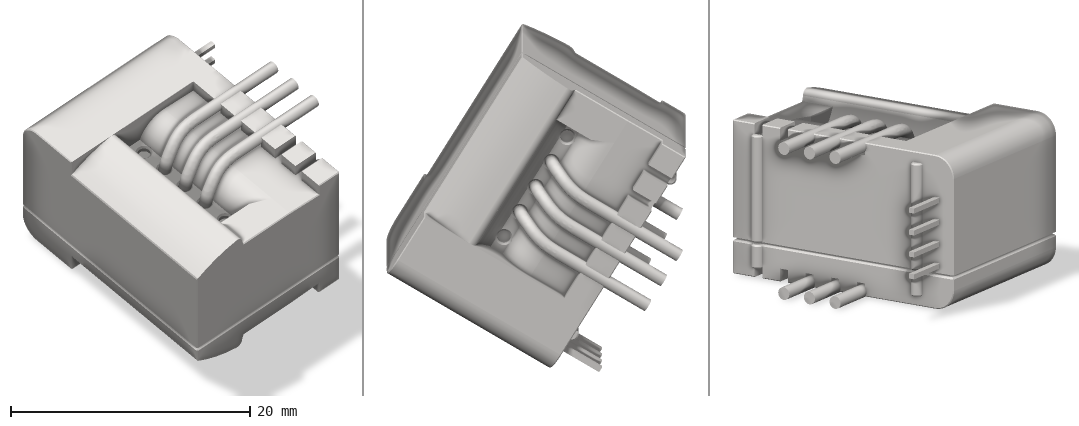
import cadquery as cq
import math

length = 21.9
total_depth = 20.0
total_height = 13.7
housing_depth = 16.0
housing_height = 13.37
top = housing_height / 2
corner_radius = 1.82
edge_chamfer = 0.09

wire_radius = 0.55
wire_count = 3
pitch = 2.55
first_wire_x = 9.18
wire_z = total_height / 2 - wire_radius
bend_start_y = 11.26
position_count = 5
slot_width = 0.79
hole_depth = 0.5
countersink_radius = 0.7
first_hole_x = 7.43
hole_y = 7.01
hole_offset = first_hole_x + pitch - first_wire_x

recess_x = 6.15
recess_back_y = 13.67
recess_z = top - 1.0
rib_foot_z = recess_z - 0.13
floor_z = top - 2.85
roll_y = 10.39
roll_foot_y = 7.67
roll_width = roll_y - roll_foot_y
roll_drop = recess_z - floor_z
roll_radius = (roll_width**2 + roll_drop**2) / (2 * roll_drop)
roll_angle = math.asin(roll_width / roll_radius)
floor_front_y = 6.49
lip_top_radius = 0.55
lip_front_y = 4.4
lip_angle = math.radians(8.7)
nose_radius = 12.0

web_x = 18.86
web_corner_x = 19.65
web_corner_y = 8.57
web_front_y = 5.2

seam_top_z = -3.53
seam_height = 0.2
seam_depth = 0.45
seam_corner_radius = 0.2
lid_chamfer = 0.15

ridge_radius = 0.53
ridge_half_height = 5.78
ridge_chamfer = 0.13
ridge_xs = (3.6, 19.41)

pin_width = 0.5
pin_thickness = 0.44
pin_x = 1.58
pin_pitch = 1.9
pin_count = 4


def bar(x_size, y_size, z_size, x, y, z):
    """Box with its low corner at (x, y, z)."""
    return cq.Workplane("XY").box(x_size, y_size, z_size, centered=False).translate((x, y, z))


def both_sides(cutter):
    """The shape together with its mirror image below the middle plane."""
    return [cutter, cutter.mirror("XY")]


def case_block(z_low, z_high):
    """Plain full-plan block between two heights."""
    return bar(length, housing_depth, z_high - z_low, 0, 0, z_low)


def make_recess():
    """Everything removed above the curved nose, the lip, the floor, the roll and the ramp to the rib."""
    lip_y = lip_front_y + lip_top_radius * math.sin(lip_angle)
    lip_z = top - lip_top_radius
    nose_top_z = lip_z + lip_top_radius * math.cos(lip_angle)
    nose_y = lip_front_y + nose_radius * math.sin(lip_angle)
    nose_z = nose_top_z - nose_radius * math.cos(lip_angle)

    def nose_height(y):
        return nose_z + math.sqrt(nose_radius**2 - (y - nose_y) ** 2)

    diagonal = math.sqrt(0.5)
    above = top + lip_top_radius
    profile = (
        cq.Workplane("YZ", origin=(recess_x, 0, 0))
        .moveTo(0, nose_height(0))
        .threePointArc((lip_front_y / 2, nose_height(lip_front_y / 2)), (lip_front_y, nose_top_z))
        .threePointArc(
            (lip_y + lip_top_radius * diagonal, lip_z + lip_top_radius * diagonal),
            (lip_y + lip_top_radius, lip_z),
        )
        .threePointArc((web_front_y, recess_z), (floor_front_y, floor_z))
        .lineTo(roll_foot_y, floor_z)
        .threePointArc(
            (
                roll_y - roll_radius * math.sin(roll_angle / 2),
                recess_z - roll_radius * (1 - math.cos(roll_angle / 2)),
            ),
            (roll_y, recess_z),
        )
        .lineTo(recess_back_y, rib_foot_z)
        .lineTo(recess_back_y, above)
        .lineTo(0, above)
        .close()
    )
    return profile.extrude(length - recess_x)


def make_web():
    """End web, level with the recess floor, with one corner cut diagonally."""
    return (
        cq.Workplane("XY", origin=(0, 0, floor_z))
        .moveTo(web_x, web_front_y)
        .lineTo(web_x, web_corner_y)
        .lineTo(web_corner_x, roll_y)
        .lineTo(length, roll_y)
        .lineTo(length, web_front_y)
        .close()
        .extrude(recess_z - floor_z)
    )


def make_seam():
    """Groove around all four sides, leaving a neck with rounded corners."""
    low_z = seam_top_z - seam_height
    neck_length = length - 2 * seam_depth
    neck_depth = housing_depth - 2 * seam_depth
    neck = bar(neck_length, neck_depth, seam_height, seam_depth, seam_depth, low_z)
    neck = neck.edges("|Z").fillet(seam_corner_radius)
    return case_block(low_z, seam_top_z).cut(neck)


def make_lid_bevel():
    """Bevel around the lid's rim, just under the seam."""
    lid = case_block(-top, seam_top_z - seam_height)
    return lid.cut(lid.faces(">Z").edges().chamfer(lid_chamfer))


def make_hole(x):
    """Blind hole in the recess floor, countersunk, with the rim's width kept clear up to the recess top."""
    countersink_depth = countersink_radius - wire_radius
    profile = (
        cq.Workplane("XZ", origin=(x, hole_y, floor_z))
        .moveTo(0, -hole_depth)
        .lineTo(wire_radius, -hole_depth)
        .lineTo(wire_radius, -countersink_depth)
        .lineTo(countersink_radius, 0)
        .lineTo(countersink_radius, recess_z - floor_z)
        .lineTo(0, recess_z - floor_z)
        .close()
    )
    return profile.revolve(360, (0, 0, 0), (0, 1, 0))


def make_slot(x):
    """Open slot through the rib behind the recess, down to the foot of the rib."""
    return bar(
        slot_width,
        housing_depth - recess_back_y,
        top - rib_foot_z,
        x - slot_width / 2,
        recess_back_y,
        rib_foot_z,
    )


def make_ridge(x, z_low, z_high):
    """Round ridge on the back face with bevelled ends."""
    return (
        cq.Workplane("XY", origin=(x, housing_depth, z_low))
        .circle(ridge_radius)
        .extrude(z_high - z_low)
        .edges("%CIRCLE")
        .chamfer(ridge_chamfer)
    )


def make_wire(x):
    """U-shaped wire: in along the top slot, down through its hole and out along the bottom slot."""
    hole_x = x + hole_offset
    bend = roll_y - hole_y
    diagonal = math.sqrt(0.5)
    bend_middle_z = wire_z - bend * (1 - diagonal)
    start = cq.Vector(x, total_depth, wire_z)
    bend_start = cq.Vector(x, bend_start_y, wire_z)
    bend_middle = cq.Vector(x + hole_offset * diagonal, roll_y - bend * diagonal, bend_middle_z)
    bend_end = cq.Vector(hole_x, hole_y, wire_z - bend)
    middle = cq.Vector(hole_x, hole_y, 0)
    path = cq.Wire.assembleEdges(
        [
            cq.Edge.makeLine(start, bend_start),
            cq.Edge.makeSpline(
                [bend_start, bend_middle, bend_end], tangents=[cq.Vector(0, -1, 0), cq.Vector(0, 0, -1)]
            ),
            cq.Edge.makeLine(bend_end, middle),
        ]
    )
    upper = (
        cq.Workplane("XZ", origin=(x, total_depth, wire_z))
        .circle(wire_radius)
        .sweep(cq.Workplane("XY").newObject([path]))
    )
    return upper.union(upper.mirror("XY"))


def make_pin(z):
    """Rectangular pin standing on the back face."""
    return bar(
        pin_width,
        total_depth - housing_depth,
        pin_thickness,
        pin_x - pin_width / 2,
        housing_depth,
        z - pin_thickness / 2,
    )


def make_housing(wires):
    """Whole housing, with the wires' own shapes cut out wherever they pass through it."""
    body = case_block(-top, top).edges("|Y and <X").fillet(corner_radius)
    for recess in both_sides(make_recess()):
        body = body.cut(recess)
    for web in both_sides(make_web()):
        body = body.union(web)
    front_and_back = body.faces("<Y or >Y").edges()
    straight_right = body.faces(">X").edges("%LINE").edges("not(<Y or >Y)")
    body = front_and_back.add(straight_right).chamfer(edge_chamfer)

    for x in ridge_xs:
        body = body.union(make_ridge(x, seam_top_z, ridge_half_height))
        body = body.union(make_ridge(x, -ridge_half_height, seam_top_z - seam_height))

    for index in range(position_count):
        slot = make_slot(first_wire_x + index * pitch)
        hole = make_hole(first_hole_x + index * pitch)
        for cutter in both_sides(slot) + both_sides(hole):
            body = body.cut(cutter)

    body = body.cut(make_seam()).cut(make_lid_bevel())
    for wire in wires:
        body = body.cut(wire)
    return body


wires = [make_wire(first_wire_x + index * pitch) for index in range(wire_count)]
housing = make_housing(wires)
pins = [make_pin((index - (pin_count - 1) / 2) * pin_pitch) for index in range(pin_count)]

result = cq.Compound.makeCompound(
    [housing.val(), *[wire.val() for wire in wires], *[pin.val() for pin in pins]]
)